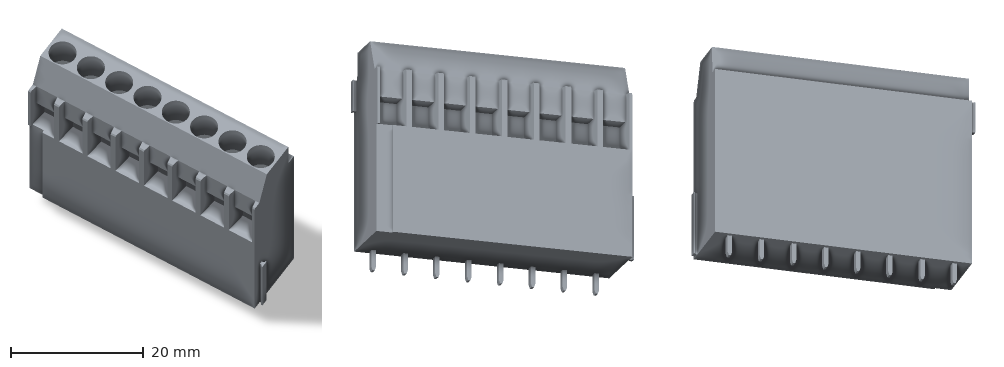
import cadquery as cq
import math


POLE_COUNT = 8
PITCH = 5.07
WIDTH = POLE_COUNT * PITCH
HEIGHT = 31.05
DEPTH = 10.95

LEDGE_Z = HEIGHT - 4.28
LEDGE_DEPTH = 1.43
UPPER_BACK_LEAN = 0.13
TOP_FRONT_Y = -7.55
SHOULDER_Y = -9.65
SHOULDER_Z = HEIGHT - 5.0
RIB_BEVEL_DROP = 0.25
RIB_BEVEL_RUN = 0.15

WELL_DIAMETER = 4.25
WELL_DEPTH = 5.05
WELL_Y = -5.3

ENTRY_WIDTH = 4.2
ENTRY_FLOOR_Z = HEIGHT - 14.1
ENTRY_ROOF_Z = HEIGHT - 9.35
ENTRY_DEPTH = 3.05
ENTRY_DRAFT = 10.0

RECESS_WIDTH = PITCH / 2
RECESS_DEPTH = 0.4

RAIL_PROJECTION = 0.65
RAIL_NECK_LENGTH = 0.25
RAIL_FLANGE_THICKNESS = 0.2
RAIL_NECK_WIDTH = 0.5
RAIL_FLARE_WIDTH = 0.8
LEFT_RAIL_WIDTH = 1.0
LEFT_RAIL_HEIGHT = 4.95
LEFT_RAIL_Y = LEFT_RAIL_WIDTH / 2 - LEDGE_DEPTH
RIGHT_RAIL_WIDTH = 1.15
RIGHT_RAIL_HEIGHT = 10.05
RIGHT_RAIL_Y = -9.25

PIN_WIDTH = 0.7
PIN_THICKNESS = 1.0
PIN_LENGTH = 3.23
PIN_Y = -1.17
PIN_TIP_HEIGHT = 0.55
PIN_TIP_WIDTH = 0.35

POLE_CENTRES = [(i + 0.5) * PITCH for i in range(POLE_COUNT)]


def make_block():
    """Side profile extruded over the full width."""
    outline = [
        (0, 0),
        (0, LEDGE_Z),
        (-LEDGE_DEPTH, LEDGE_Z),
        (-LEDGE_DEPTH - UPPER_BACK_LEAN, HEIGHT),
        (TOP_FRONT_Y, HEIGHT),
        (SHOULDER_Y, SHOULDER_Z),
        (RIB_BEVEL_RUN - DEPTH, SHOULDER_Z),
        (-DEPTH, SHOULDER_Z - RIB_BEVEL_DROP),
        (-DEPTH, 0),
    ]
    return cq.Workplane("YZ").polyline(outline).close().extrude(WIDTH)


def make_wells():
    """Blind screw wells, one per pole."""
    centres = [(x, WELL_Y) for x in POLE_CENTRES]
    return (
        cq.Workplane("XY", origin=(0, 0, HEIGHT))
        .pushPoints(centres)
        .circle(WELL_DIAMETER / 2)
        .extrude(-WELL_DEPTH)
    )


def drafted_pocket(x, roof_z, depth):
    """Pocket narrowing inward from the front face; roof_z is taken at the front face."""
    return (
        cq.Workplane("XZ", origin=(x, -DEPTH, (ENTRY_FLOOR_Z + roof_z) / 2))
        .rect(ENTRY_WIDTH, roof_z - ENTRY_FLOOR_Z)
        .extrude(-depth, taper=ENTRY_DRAFT)
    )


def make_entry(x):
    """Wire entry: a funnel, with a shallower slot above it that is open at the top."""
    slot_depth = SHOULDER_Y + DEPTH
    roof_fall = slot_depth * math.tan(math.radians(ENTRY_DRAFT))
    funnel = drafted_pocket(x, ENTRY_ROOF_Z + roof_fall, ENTRY_DEPTH)
    slot = drafted_pocket(x, SHOULDER_Z + roof_fall, slot_depth)
    return funnel.union(slot)


def make_recess():
    """Shallow step at the left end of the front face, reaching up to the first entry's drafted floor."""
    height = ENTRY_FLOOR_Z + RECESS_DEPTH * math.tan(math.radians(ENTRY_DRAFT))
    return cq.Workplane("XY", origin=(0, -DEPTH, 0)).box(
        RECESS_WIDTH, RECESS_DEPTH, height, centered=False
    )


def make_rail(end_x, direction, y, flange_width, bottom_z, height):
    """Joining rail that stands out from an end wall; direction is -1 for left, 1 for right."""
    flange_start = RAIL_PROJECTION - RAIL_FLANGE_THICKNESS
    half_outline = [
        (0, RAIL_NECK_WIDTH / 2),
        (RAIL_NECK_LENGTH, RAIL_NECK_WIDTH / 2),
        (flange_start, RAIL_FLARE_WIDTH / 2),
        (flange_start, flange_width / 2),
        (RAIL_PROJECTION, flange_width / 2),
    ]
    front_side = [(end_x + direction * out, y - half) for out, half in half_outline]
    back_side = [(end_x + direction * out, y + half) for out, half in reversed(half_outline)]
    return (
        cq.Workplane("XY", origin=(0, 0, bottom_z))
        .polyline(front_side + back_side)
        .close()
        .extrude(height)
    )


def make_housing():
    housing = make_block().cut(make_wells()).cut(make_recess())
    for x in POLE_CENTRES:
        housing = housing.cut(make_entry(x))
    left_rail = make_rail(
        0, -1, LEFT_RAIL_Y, LEFT_RAIL_WIDTH, LEDGE_Z - LEFT_RAIL_HEIGHT, LEFT_RAIL_HEIGHT
    )
    right_rail = make_rail(WIDTH, 1, RIGHT_RAIL_Y, RIGHT_RAIL_WIDTH, 0, RIGHT_RAIL_HEIGHT)
    return housing.union(left_rail).union(right_rail)


def make_pin(x):
    """Flat pin hanging below the housing, its tip bevelled on two sides."""
    half_width = PIN_WIDTH / 2
    half_tip = PIN_TIP_WIDTH / 2
    shoulder_z = PIN_TIP_HEIGHT - PIN_LENGTH
    outline = [
        (-half_width, 0),
        (-half_width, shoulder_z),
        (-half_tip, -PIN_LENGTH),
        (half_tip, -PIN_LENGTH),
        (half_width, shoulder_z),
        (half_width, 0),
    ]
    return (
        cq.Workplane("XZ", origin=(x, PIN_Y, 0))
        .polyline(outline)
        .close()
        .extrude(PIN_THICKNESS / 2, both=True)
    )


housing = make_housing()
pins = [make_pin(x) for x in POLE_CENTRES]

result = cq.Compound.makeCompound([housing.val(), *[pin.val() for pin in pins]])